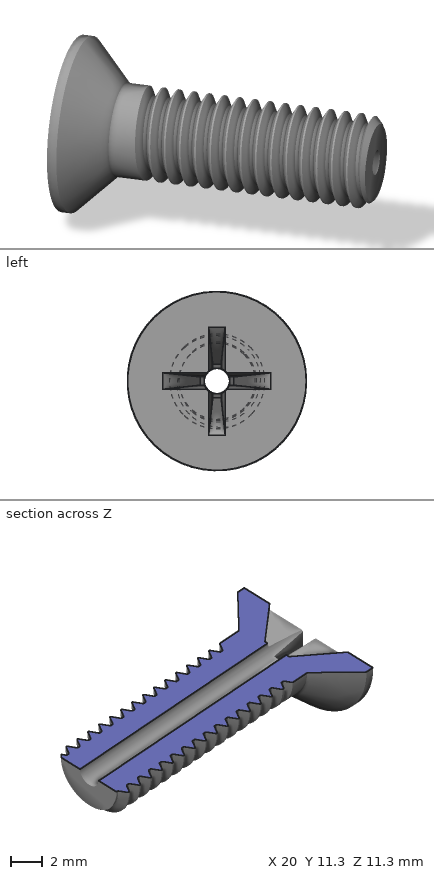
import cadquery as cq
import math

length = 20.0
head_diameter = 11.3
head_rim = 0.62
shank_diameter = 6.0
bore_diameter = 1.6
tip_chamfer = 0.52

recess_span = 6.82
recess_width = 1.05
recess_floor_span = 2.1
recess_floor_width = 0.52
recess_depth = 2.88

pitch = 1.0
groove_depth = 0.6
groove_root_flat = 0.2
groove_overcut = 0.05
flank_angle = 30.0
runin_start_angle = -22.5
runin_sweep = 135.0
runin_sections = 7
runin_start_x = 4.65

shank_radius = shank_diameter / 2
head_radius = head_diameter / 2
root_radius = shank_radius - groove_depth
blank_length = length + 2 * pitch
runin_advance = pitch * runin_sweep / 360
thread_start_x = runin_start_x + runin_advance
thread_start_angle = runin_start_angle + runin_sweep


def make_blank():
    """Revolved head and shank; the cone under the head slopes at 45 degrees.

    The shank is left overlong so that the thread can be cut before the tip is trimmed.
    """
    cone_end = head_rim + head_radius - shank_radius
    return (
        cq.Workplane("XY")
        .lineTo(0, -head_radius)
        .lineTo(head_rim, -head_radius)
        .lineTo(cone_end, -shank_radius)
        .lineTo(blank_length, -shank_radius)
        .lineTo(blank_length, 0)
        .close()
        .revolve(360, (0, 0, 0), (1, 0, 0))
    )


def make_tip_trimmer():
    """Revolved tool that cuts the shank to length and leaves the 45 degree tip chamfer."""
    outer_radius = shank_radius + tip_chamfer
    return (
        cq.Workplane("XY")
        .moveTo(length, 0)
        .lineTo(length, -(shank_radius - tip_chamfer))
        .lineTo(length - 2 * tip_chamfer, -outer_radius)
        .lineTo(blank_length + pitch, -outer_radius)
        .lineTo(blank_length + pitch, 0)
        .close()
        .revolve(360, (0, 0, 0), (1, 0, 0))
    )


def make_recess_slot(turn):
    """One tapered slot of the cross, turned about the screw axis."""
    slot = (
        cq.Workplane("YZ")
        .rect(recess_span, recess_width)
        .workplane(offset=recess_depth)
        .rect(recess_floor_span, recess_floor_width)
        .loft(ruled=True)
    )
    return slot.rotate((0, 0, 0), (1, 0, 0), turn)


def groove_profile(bottom_radius):
    """Groove section in the XZ plane of a screw standing along Z."""
    height = groove_depth + groove_overcut
    half_root = groove_root_flat / 2
    half_mouth = half_root + height * math.tan(math.radians(flank_angle))
    return cq.Workplane("XZ").polyline(
        [
            (bottom_radius, -half_root),
            (bottom_radius + height, -half_mouth),
            (bottom_radius + height, half_mouth),
            (bottom_radius, half_root),
        ]
    ).close()


def place_along_screw(tool, start_x, start_angle):
    """Lay a tool built along Z onto the X axis, measuring angles from -Z towards +Y."""
    return (
        tool.rotate((0, 0, 0), (0, 0, 1), start_angle)
        .rotate((0, 0, 0), (0, 1, 0), 90)
        .translate((start_x, 0, 0))
    )


def make_runin():
    """Start of the groove, deepening steadily from the shank surface."""
    sections = []
    for i in range(runin_sections):
        done = i / (runin_sections - 1)
        wire = groove_profile(shank_radius - groove_depth * done).wires().val()
        wire = wire.rotate(cq.Vector(0, 0, 0), cq.Vector(0, 0, 1), runin_sweep * done)
        sections.append(wire.translate(cq.Vector(0, 0, runin_advance * done)))
    runin = cq.Workplane(cq.Solid.makeLoft(sections))
    return place_along_screw(runin, runin_start_x, runin_start_angle)


def make_thread_groove():
    """Full-depth groove, running out past the tip."""
    helix = cq.Wire.makeHelix(pitch, length + pitch - thread_start_x, root_radius)
    groove = groove_profile(root_radius).sweep(cq.Workplane(helix), isFrenet=True)
    return place_along_screw(groove, thread_start_x, thread_start_angle)


bore = cq.Workplane("YZ").circle(bore_diameter / 2).extrude(length)

result = make_blank().cut(make_thread_groove()).cut(make_runin()).cut(make_tip_trimmer())
for turn in (0, 90):
    result = result.cut(make_recess_slot(turn))
result = result.cut(bore).solids()